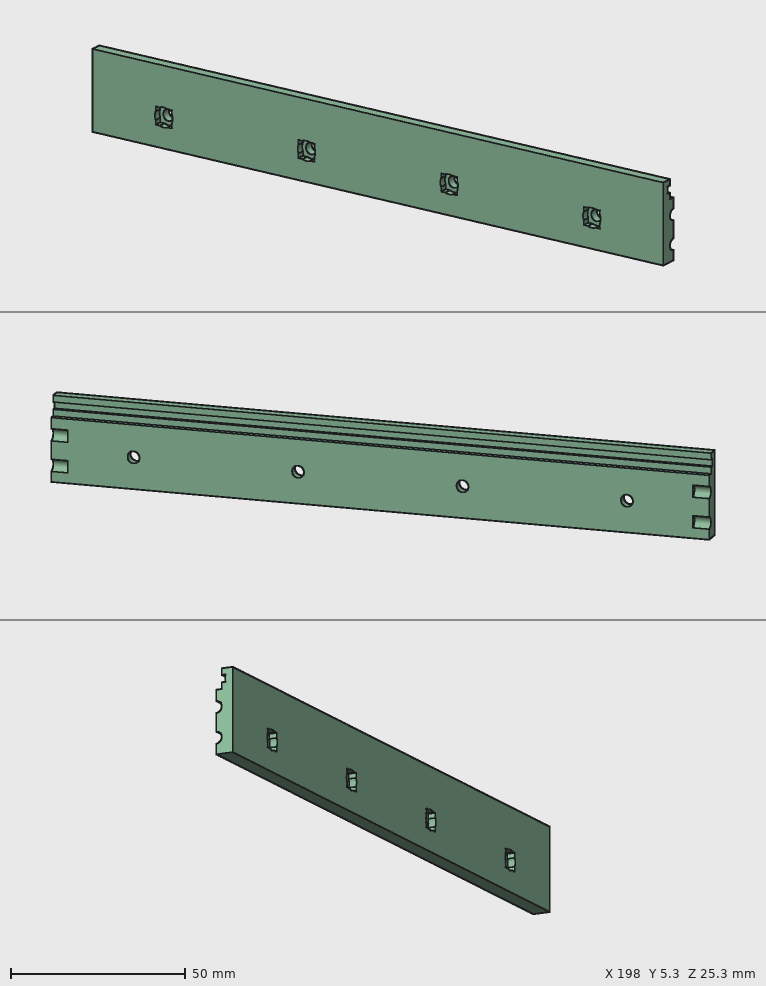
import cadquery as cq

length = 198.0
thickness = 5.3
height = 25.3

rebate_depth = 1.8
rebate_floor_z = 19.2
groove_depth = 1.2
groove_bottom_z = 21.2
groove_width = 2.2

hole_count = 4
hole_pitch = length / hole_count
hole_z = 9.5
hole_diameter = 3.5
recess_side = 5.5
recess_diameter = 6.1
recess_depth = 2.4

socket_radius = 1.8
socket_length = 5.0
socket_offset = 4.5


def make_strip():
    """Extrude the rebated and grooved cross-section along X."""
    rebate_y = thickness - rebate_depth
    groove_y = rebate_y - groove_depth
    groove_top_z = groove_bottom_z + groove_width
    outline = [
        (0, 0),
        (thickness, 0),
        (thickness, rebate_floor_z),
        (rebate_y, rebate_floor_z),
        (rebate_y, groove_bottom_z),
        (groove_y, groove_bottom_z),
        (groove_y, groove_top_z),
        (rebate_y, groove_top_z),
        (rebate_y, height),
        (0, height),
    ]
    return cq.Workplane("YZ").polyline(outline).close().extrude(length)


def make_fixing_hole(x):
    """Through hole opening into a square recess whose sides bulge out where a larger circle crosses them."""
    front = cq.Workplane("XZ", origin=(x, 0, hole_z))
    hole = front.circle(hole_diameter / 2).extrude(-thickness)
    square_recess = front.rect(recess_side, recess_side).extrude(-recess_depth)
    round_recess = front.circle(recess_diameter / 2).extrude(-recess_depth)
    return hole.union(square_recess).union(round_recess)


def make_socket(start_x, z):
    """Round bar along X, centred on the back face so that half of it cuts."""
    end_plane = cq.Workplane("YZ", origin=(start_x, thickness, z))
    return end_plane.circle(socket_radius).extrude(socket_length)


result = make_strip()

for index in range(hole_count):
    result = result.cut(make_fixing_hole((index + 0.5) * hole_pitch))

for start_x in (0, length - socket_length):
    for z in (hole_z - socket_offset, hole_z + socket_offset):
        result = result.cut(make_socket(start_x, z))